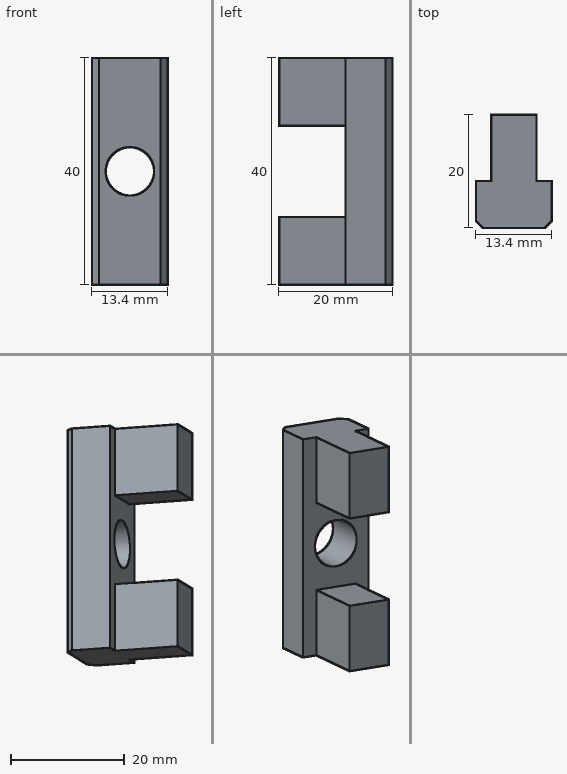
import cadquery as cq

height = 40.0
bar_width = 13.4
total_depth = 20.0
bar_depth = 8.3
edge_chamfer = 1.3
leg_width = 8.0
leg_height = 12.0
hole_diameter = 8.5

leg_depth = total_depth - bar_depth


def make_bar():
    """Upright bar with its front face on Y = 0 and both front edges chamfered."""
    bar = cq.Workplane("XY").box(bar_width, bar_depth, height, centered=(True, False, True))
    return bar.faces("<Y").edges("|Z").chamfer(edge_chamfer)


def make_leg(side):
    """Leg behind the bar, flush with its top (side = 1) or bottom (side = -1)."""
    leg = cq.Workplane("XY").box(leg_width, leg_depth, leg_height, centered=(True, False, True))
    return leg.translate((0, bar_depth, side * (height - leg_height) / 2))


def make_hole():
    """Round hole through the middle of the bar, from front to back."""
    return cq.Workplane("XZ").circle(hole_diameter / 2).extrude(-bar_depth)


result = make_bar()
for side in (-1, 1):
    result = result.union(make_leg(side))
result = result.cut(make_hole())